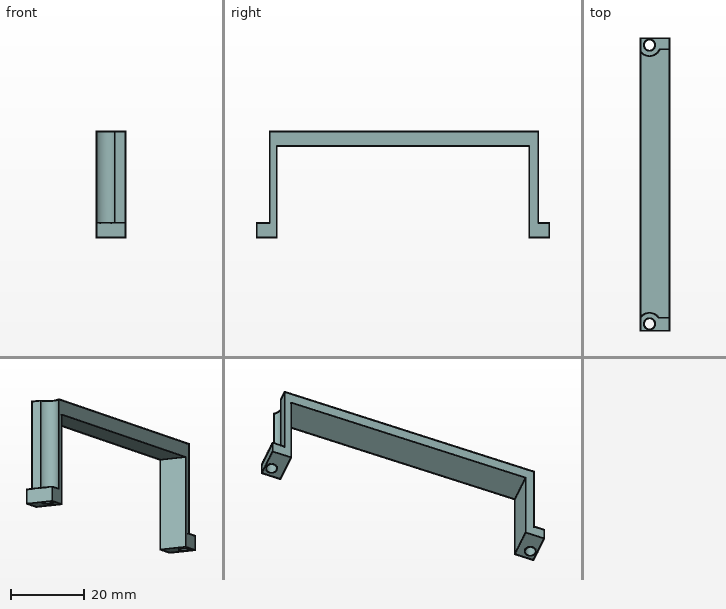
import cadquery as cq

width = 8.0
length = 80.0
height = 29.0

foot_height = 4.0
beam_height = 4.0
inner_span = 69.0

front_leg_y = -36.45
back_leg_y = 37.0

hole_diameter = 3.0
clearance_diameter = 6.0
hole_x = -1.5
hole_spacing = 76.2


def make_bridge():
    """Side outline of beam, legs and feet, extruded across the width."""
    half_length = length / 2
    half_span = inner_span / 2
    beam_underside = height - beam_height
    outline = [
        (-half_length, 0),
        (-half_span, 0),
        (-half_span, beam_underside),
        (half_span, beam_underside),
        (half_span, 0),
        (half_length, 0),
        (half_length, foot_height),
        (back_leg_y, foot_height),
        (back_leg_y, height),
        (front_leg_y, height),
        (front_leg_y, foot_height),
        (-half_length, foot_height),
    ]
    return cq.Workplane("YZ").polyline(outline).close().extrude(width / 2, both=True)


def make_screw_cutter(hole_y):
    """Through hole in the foot and the wider channel up the leg above it."""
    hole = cq.Workplane("XY").center(hole_x, hole_y).circle(hole_diameter / 2).extrude(foot_height)
    channel = (
        cq.Workplane("XY", origin=(hole_x, hole_y, foot_height))
        .circle(clearance_diameter / 2)
        .extrude(height - foot_height)
    )
    return hole.union(channel)


result = make_bridge()
for hole_y in (-hole_spacing / 2, hole_spacing / 2):
    result = result.cut(make_screw_cutter(hole_y))